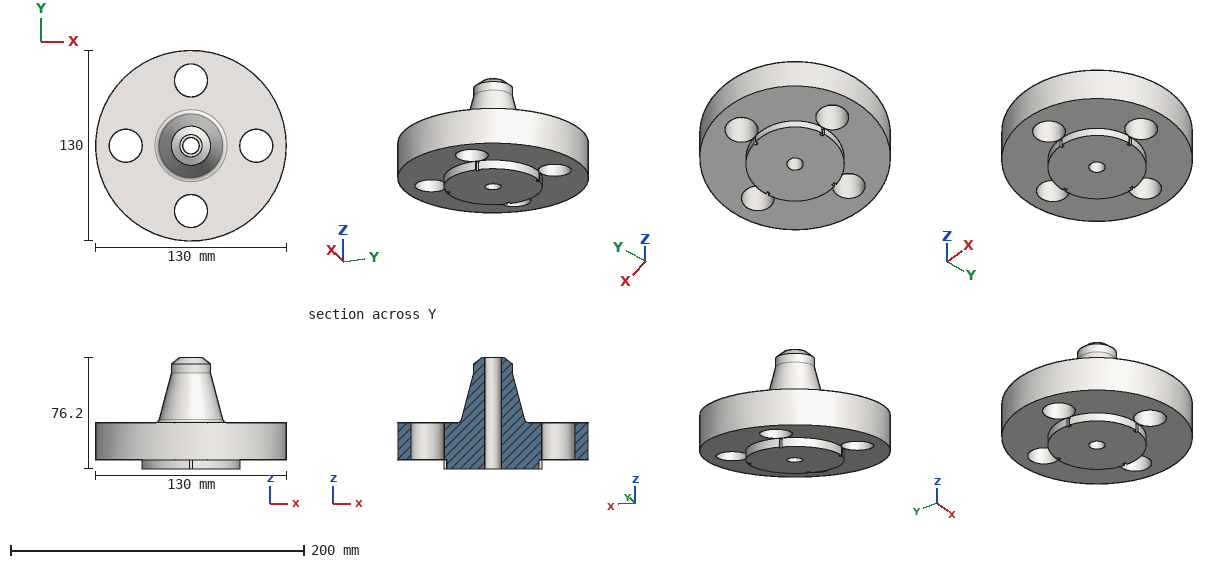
import cadquery as cq
import math

flange_diameter = 130.0
flange_thickness = 25.4
raised_face_diameter = 67.0
raised_face_height = 6.35
total_height = 76.2

notch_count = 4
notch_width = 2.0
notch_depth = 2.0

hub_base_diameter = 44.5
hub_fillet_radius = 3.0
neck_diameter = 26.7
neck_length = 6.2
bevel_height = 4.5
weld_land_outer_diameter = 15.2
bore_diameter = 11.05

bolt_hole_count = 4
bolt_hole_diameter = 22.35
bolt_circle_diameter = 88.9

flange_bottom = raised_face_height
flange_top = flange_bottom + flange_thickness
bevel_start = total_height - bevel_height
taper_end = bevel_start - neck_length


def make_flange_plate():
    """Round plate with the raised sealing face below it."""
    raised_face = cq.Workplane("XY").circle(raised_face_diameter / 2).extrude(raised_face_height)
    plate = (
        cq.Workplane("XY")
        .workplane(offset=flange_bottom)
        .circle(flange_diameter / 2)
        .extrude(flange_thickness)
    )
    return raised_face.union(plate)


def make_neck():
    """Revolved hub: concave root fillet, taper, straight neck and weld bevel."""
    neck_radius = neck_diameter / 2
    hub_radius = hub_base_diameter / 2
    taper_run = hub_radius - neck_radius
    taper_rise = taper_end - flange_top
    lean = math.atan2(taper_run, taper_rise)

    tangent_length = hub_fillet_radius * math.tan((math.pi / 2 - lean) / 2)
    fillet_outer = (hub_radius + tangent_length, flange_top)
    fillet_upper = (
        hub_radius - tangent_length * math.sin(lean),
        flange_top + tangent_length * math.cos(lean),
    )
    fillet_middle_angle = math.pi / 4 + lean / 2
    fillet_middle = (
        fillet_outer[0] - hub_fillet_radius * math.cos(fillet_middle_angle),
        flange_top + hub_fillet_radius * (1 - math.sin(fillet_middle_angle)),
    )
    return (
        cq.Workplane("XZ")
        .moveTo(0, flange_top)
        .lineTo(*fillet_outer)
        .threePointArc(fillet_middle, fillet_upper)
        .lineTo(neck_radius, taper_end)
        .lineTo(neck_radius, bevel_start)
        .lineTo(weld_land_outer_diameter / 2, total_height)
        .lineTo(0, total_height)
        .close()
        .revolve(360, (0, 0, 0), (0, 1, 0))
    )


def make_bore():
    """Straight bore through the whole part."""
    return cq.Workplane("XY").circle(bore_diameter / 2).extrude(total_height)


def make_bolt_holes():
    """Bolt holes through the flange plate, the first on the +X axis."""
    return (
        cq.Workplane("XY")
        .workplane(offset=flange_bottom)
        .polarArray(bolt_circle_diameter / 2, 0, 360, bolt_hole_count)
        .circle(bolt_hole_diameter / 2)
        .extrude(flange_thickness)
    )


def make_rim_notches():
    """Full-height radial notches, one on each side along X and Y."""
    return (
        cq.Workplane("XY")
        .polarArray(raised_face_diameter / 2, 0, 360, notch_count)
        .rect(2 * notch_depth, notch_width)
        .extrude(raised_face_height)
    )


result = (
    make_flange_plate()
    .union(make_neck())
    .cut(make_bore())
    .cut(make_bolt_holes())
    .cut(make_rim_notches())
)